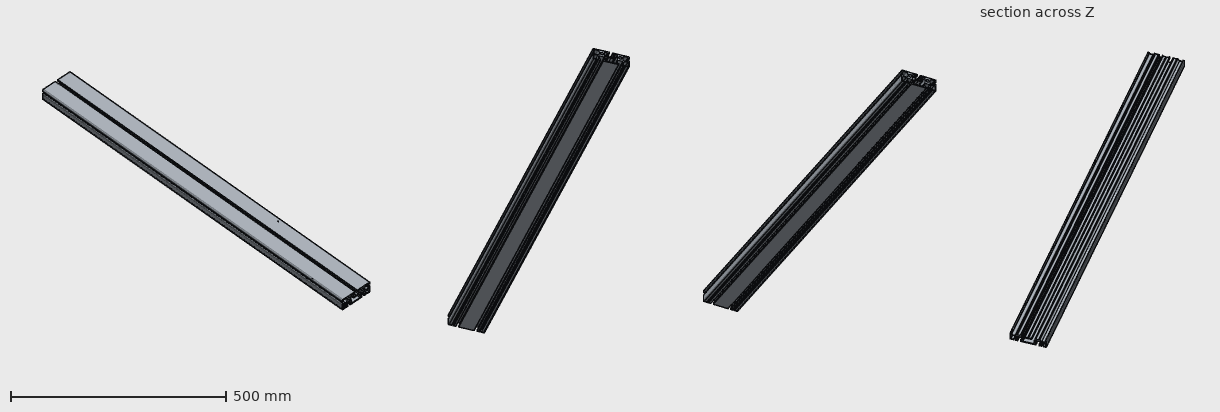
import cadquery as cq

LENGTH = 1000.0
WIDTH = 90.0
HEIGHT = 32.0
CORNER_RADIUS = 2.5

HALF_WIDTH = WIDTH / 2

SIDE_SLOT_Z = HEIGHT - 9.8
SIDE_MOUTH_WIDTH = 6.6
SIDE_MOUTH_RADIUS = 1.0
SIDE_CAVITY_WIDTH = 13.0
SIDE_CAVITY_RADIUS = 4.0
SIDE_LIP = 4.0
SIDE_SLOT_DEPTH = 16.0

BOTTOM_SLOT_Y = HALF_WIDTH / 2
BOTTOM_MOUTH_WIDTH = 7.0
BOTTOM_LEDGE = 2.6
BOTTOM_CAVITY_WIDTH = BOTTOM_MOUTH_WIDTH + 2 * BOTTOM_LEDGE
BOTTOM_LIP = 4.1
BOTTOM_CAVITY_HEIGHT = 9.2

TOP_MOUTH_WIDTH = 8.0
TOP_CAVITY_WIDTH = 15.0
TOP_LIP = 4.3
TOP_CAVITY_HEIGHT = 10.0

CENTRING_WIDTH = 2.8
CENTRING_DEPTH = 2.0

SCREW_DIAMETER = 7.3
SCREW_Z = HEIGHT - 9.5

CHANNEL_WALL = 2.8
CHANNEL_LIP = 2.2
CHANNEL_LIP_WIDTH = 8.8
CHANNEL_MOUTH_WIDTH = 3.7
CHANNEL_SHELF = 1.9
CHANNEL_RIB = 1.7
CHANNEL_CHAMFER_Y = 2.3
CHANNEL_CHAMFER_Z = 5.1
CHANNEL_CORNER_RADIUS = 1.0

TROUGH_WALL = 2.0
TROUGH_FLOOR = 3.5
TROUGH_CHAMFER = 2.5

HOLLOW_FLOOR = 3.0
HOLLOW_ROOF = 3.5
HOLLOW_LOWER_RIB = 2.3
HOLLOW_FOOT_WIDTH = 1.5
HOLLOW_FOOT_HEIGHT = 4.0
SHOULDER_BOTTOM = 11.0
SHOULDER_TOP = 15.0
SHOULDER_WIDTH = 2.0
HOLLOW_CHAMFER_Y = 0.5
HOLLOW_CHAMFER_Z = 4.0


def prism(points):
    """Full-length bar with the given (y, z) outline."""
    plane = cq.Workplane("YZ", origin=(-LENGTH / 2, 0, 0))
    return plane.polyline(points).close().extrude(LENGTH)


def both_sides(bar):
    """A bar together with its mirror image about Y = 0."""
    return bar.union(bar.mirror("XZ"))


def mirrored(half):
    """Complete an outline given on the positive side of its axis."""
    return half + [(-offset, level) for offset, level in reversed(half)]


def t_slot(mouth_width, cavity_width, lip, depth):
    """T-slot outline as (offset from the slot axis, depth below the face)."""
    mouth = mouth_width / 2
    cavity = cavity_width / 2
    return mirrored([(mouth, 0), (mouth, lip), (cavity, lip), (cavity, depth)])


def body():
    block = cq.Workplane("XY").box(LENGTH, WIDTH, HEIGHT, centered=(True, True, False))
    return block.edges("|X").fillet(CORNER_RADIUS)


def side_slot():
    outline = t_slot(SIDE_MOUTH_WIDTH, SIDE_CAVITY_WIDTH, SIDE_LIP, SIDE_SLOT_DEPTH)
    slot = prism([(HALF_WIDTH - depth, SIDE_SLOT_Z + offset) for offset, depth in outline])
    return slot.faces("<Y").edges("|X").fillet(SIDE_CAVITY_RADIUS)


def bottom_slot():
    depth = BOTTOM_LIP + BOTTOM_CAVITY_HEIGHT
    slot = t_slot(BOTTOM_MOUTH_WIDTH, BOTTOM_CAVITY_WIDTH, BOTTOM_LIP, depth)
    return prism(slot).translate((0, BOTTOM_SLOT_Y, 0))


def top_slot():
    depth = TOP_LIP + TOP_CAVITY_HEIGHT
    slot = t_slot(TOP_MOUTH_WIDTH, TOP_CAVITY_WIDTH, TOP_LIP, depth)
    groove = [(-CENTRING_WIDTH / 2, depth), (CENTRING_WIDTH / 2, depth), (0, depth + CENTRING_DEPTH)]
    upside_down = prism(slot).union(prism(groove))
    return upside_down.mirror("XY").translate((0, 0, HEIGHT))


def screw_channel():
    plane = cq.Workplane("YZ", origin=(-LENGTH / 2, BOTTOM_SLOT_Y, SCREW_Z))
    return plane.circle(SCREW_DIAMETER / 2).extrude(LENGTH)


def corner_channel():
    outer_y = HALF_WIDTH - CHANNEL_WALL
    inner_y = BOTTOM_SLOT_Y + BOTTOM_CAVITY_WIDTH / 2 + CHANNEL_RIB
    mouth_outer_y = HALF_WIDTH - CHANNEL_LIP_WIDTH
    mouth_inner_y = mouth_outer_y - CHANNEL_MOUTH_WIDTH
    top = SIDE_SLOT_Z - SIDE_CAVITY_WIDTH / 2 - CHANNEL_SHELF
    channel = prism([
        (mouth_outer_y, 0),
        (mouth_outer_y, CHANNEL_LIP),
        (outer_y, CHANNEL_LIP),
        (outer_y, top),
        (inner_y + CHANNEL_CHAMFER_Y, top),
        (inner_y, top - CHANNEL_CHAMFER_Z),
        (inner_y, CHANNEL_LIP),
        (mouth_inner_y, CHANNEL_LIP),
        (mouth_inner_y, 0),
    ])
    upper_corner = cq.NearestToPointSelector((0, outer_y, top))
    return channel.edges(upper_corner).fillet(CHANNEL_CORNER_RADIUS)


def hollow():
    lower_y = BOTTOM_SLOT_Y - BOTTOM_CAVITY_WIDTH / 2 - HOLLOW_LOWER_RIB
    upper_y = lower_y + SHOULDER_WIDTH
    ceiling = HEIGHT - HOLLOW_ROOF
    trough_y = TOP_CAVITY_WIDTH / 2 + TROUGH_WALL
    trough_bottom = HEIGHT - TOP_LIP - TOP_CAVITY_HEIGHT - TROUGH_FLOOR
    return prism(mirrored([
        (lower_y - HOLLOW_FOOT_WIDTH, HOLLOW_FLOOR),
        (lower_y, HOLLOW_FLOOR + HOLLOW_FOOT_HEIGHT),
        (lower_y, SHOULDER_BOTTOM),
        (upper_y, SHOULDER_TOP),
        (upper_y, ceiling - HOLLOW_CHAMFER_Z),
        (upper_y - HOLLOW_CHAMFER_Y, ceiling),
        (trough_y, ceiling),
        (trough_y, trough_bottom + TROUGH_CHAMFER),
        (trough_y - TROUGH_CHAMFER, trough_bottom),
    ]))


def round_side_mouths(profile):
    """Round the outer edges of both side slots."""
    for side in (HALF_WIDTH, -HALF_WIDTH):
        for flank in (1, -1):
            z = SIDE_SLOT_Z + flank * SIDE_MOUTH_WIDTH / 2
            mouth_edge = cq.NearestToPointSelector((0, side, z))
            profile = profile.edges(mouth_edge).fillet(SIDE_MOUTH_RADIUS)
    return profile


result = body()
for cutter in (side_slot(), bottom_slot(), screw_channel(), corner_channel()):
    result = result.cut(both_sides(cutter))
result = result.cut(top_slot()).cut(hollow())
result = round_side_mouths(result)